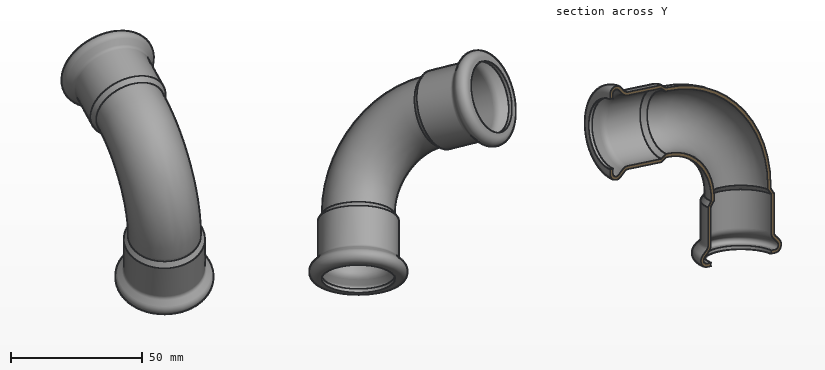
import cadquery as cq
import math

overall_length = 79.85
bead_outer_radius = 37.6 / 2
socket_outer_radius = 15.5
socket_bore_radius = 14.0
tube_outer_radius = 14.0
tube_bore_radius = 12.4

bead_radius = 6.0 / 2
bead_wall = 1.5
shoulder_start = 23.9
shoulder_end = 26.0
bend_start = 27.2
neck_fillet_radius = 2.0

arm_length = overall_length - bead_outer_radius
bend_radius = arm_length - bend_start
bead_center_radius = bead_outer_radius - bead_radius
diagonal = math.sqrt(0.5)


def bead_and_neck(profile, section_radius, body_radius, fillet_radius):
    """Round over the bead, descend at 45 degrees and blend into the socket wall."""
    slope_start_radius = bead_center_radius + section_radius * diagonal
    slope_start = bead_radius + section_radius * diagonal
    slope_end_radius = body_radius + fillet_radius * (1 - diagonal)
    slope_end = slope_start + slope_start_radius - slope_end_radius
    fillet_end = slope_end + fillet_radius * diagonal
    half_slope = math.radians(45 / 2)
    fillet_middle = (
        body_radius + fillet_radius * (1 - math.cos(half_slope)),
        fillet_end - fillet_radius * math.sin(half_slope),
    )
    bead_middle = (
        bead_center_radius + section_radius * math.cos(half_slope),
        bead_radius - section_radius * math.sin(half_slope),
    )
    return (
        profile
        .threePointArc(bead_middle, (slope_start_radius, slope_start))
        .lineTo(slope_end_radius, slope_end)
        .threePointArc(fillet_middle, (body_radius, fillet_end))
    )


def revolve_to_bend(profile, body_radius, tube_radius):
    """Finish a profile with the shoulder and tube stub, then revolve it about Z."""
    return (
        profile
        .lineTo(body_radius, shoulder_start)
        .lineTo(tube_radius, shoulder_end)
        .lineTo(tube_radius, bend_start)
        .lineTo(0, bend_start)
        .close()
        .revolve(360, (0, 0, 0), (0, 1, 0))
    )


def make_socket():
    """Hollow press socket along Z with its mouth at Z = 0, opening downwards."""
    outer = cq.Workplane("XZ").lineTo(bead_center_radius, 0)
    outer = bead_and_neck(outer, bead_radius, socket_outer_radius, neck_fillet_radius)
    outer = revolve_to_bend(outer, socket_outer_radius, tube_outer_radius)

    bore = (
        cq.Workplane("XZ")
        .lineTo(socket_bore_radius, 0)
        .lineTo(socket_bore_radius, bead_wall)
        .lineTo(bead_center_radius, bead_wall)
    )
    bore = bead_and_neck(
        bore, bead_radius - bead_wall, socket_bore_radius, neck_fillet_radius + bead_wall
    )
    bore = revolve_to_bend(bore, socket_bore_radius, tube_bore_radius)
    return outer.cut(bore)


def make_bend():
    """Quarter-torus tube joining the lower arm (-Z) to the side arm (-X)."""
    return (
        cq.Workplane("XY", origin=(0, 0, -bend_radius))
        .circle(tube_outer_radius)
        .circle(tube_bore_radius)
        .revolve(90, (-bend_radius, 0, 0), (-bend_radius, -1, 0))
    )


lower_socket = make_socket().translate((0, 0, -arm_length))
side_socket = lower_socket.rotate((0, 0, 0), (0, 1, 0), 90)

result = make_bend().union(lower_socket).union(side_socket)